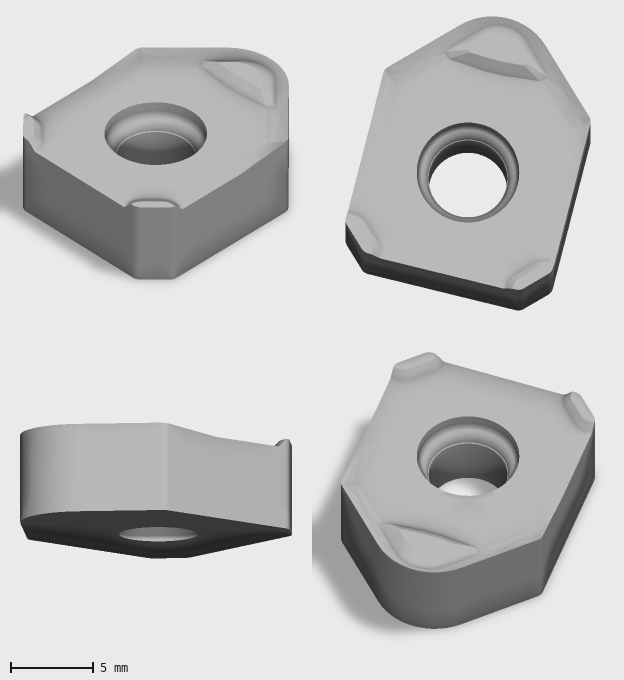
import cadquery as cq
import math

width = 13.0
length = 16.36
height = 5.56
half_width = width / 2
back_y = -6.51
nose_y = back_y + length

shoulder_y = 4.92
back_chamfer = 1.6
corner_radius = 0.64
diagonal = math.sqrt(0.5)
apex_y = shoulder_y + half_width
nose_radius = (apex_y - nose_y) / (math.sqrt(2) - 1)
nose_center_y = nose_y - nose_radius

floor_z = 5.0
rim_z = 5.42
overlap = 0.16
side_rim_width = 1.0
flank_rim_width = 1.2
rim_start_y = 0.93

pad_slope = 45.0
pad_fillet = 0.21
pad_margin = pad_fillet * math.tan(math.radians(pad_slope / 2))
pad_arc_radius = 1.49 - pad_margin
pad_side_center = (-6.17, -5.55)
pad_arc_shift = 0.88
stock_margin = 0.82
pad_overrun = 3.27

breaker_arc_half = 1.42
breaker_tip_half = 3.3
breaker_back_half = 2.9
breaker_flat_half = 0.57
breaker_nose_y = 9.47
breaker_arc_y = 8.82
breaker_tip_y = 6.99
breaker_back_y = 6.6
breaker_flat_y = 6.36
breaker_base_slope = 0.04
plateau_nose_y = 8.36
plateau_arc_y = 7.72
plateau_tip_half = 1.78
plateau_tip_y = 7.33
plateau_back_half = 1.7
plateau_back_y = 7.2
plateau_flat_y = 7.12
breaker_fillet = 0.08

bore_radius = 4.8 / 2
mouth_radius = 3.12
wall_radius = 3.1
wall_depth = 0.64
seat_radius = 2.93
seat_depth = 0.93
lip_radius = 2.45
lip_depth = 1.67
bore_depth = 1.72
cove_bow = 0.03
seat_bow = 0.11


def outline_prism():
    tangent_x = nose_radius * diagonal
    tangent_y = nose_center_y + nose_radius * diagonal
    prism = (
        cq.Workplane("XY")
        .moveTo(-half_width + back_chamfer, back_y)
        .lineTo(half_width - back_chamfer, back_y)
        .lineTo(half_width, back_y + back_chamfer)
        .lineTo(half_width, shoulder_y)
        .lineTo(tangent_x, tangent_y)
        .threePointArc((0, nose_y), (-tangent_x, tangent_y))
        .lineTo(-half_width, shoulder_y)
        .lineTo(-half_width, back_y + back_chamfer)
        .close()
        .extrude(height)
    )
    corner_zone = cq.selectors.BoxSelector(
        (-width, back_y - corner_radius, 0), (width, shoulder_y + corner_radius, height))
    sharp_edges = prism.edges("|Z").edges(corner_zone)
    return sharp_edges.fillet(corner_radius)


def corner_pad():
    """Left pad: a tapered block whose outer sides run past the outline."""
    side_x, side_y = pad_side_center
    back_x, lower_y = side_x + pad_arc_shift, side_y - pad_arc_shift
    reach = pad_arc_radius * diagonal
    middle = math.radians(67.5)
    near = pad_arc_radius * math.cos(middle)
    far = pad_arc_radius * math.sin(middle)
    outer_x = -half_width - pad_overrun
    outer_y = back_y - pad_overrun
    return (
        cq.Workplane("XY", origin=(0, 0, floor_z))
        .moveTo(outer_x, side_y + pad_arc_radius)
        .lineTo(side_x, side_y + pad_arc_radius)
        .threePointArc((side_x + near, side_y + far), (side_x + reach, side_y + reach))
        .lineTo(back_x + reach, lower_y + reach)
        .threePointArc((back_x + far, lower_y + near), (back_x + pad_arc_radius, lower_y))
        .lineTo(back_x + pad_arc_radius, outer_y)
        .lineTo(outer_x, outer_y)
        .close()
        .extrude(height - floor_z, taper=pad_slope)
        .faces(">Z").edges().fillet(pad_fillet)
    )


def padded_stock():
    stock_size = (width + 2 * stock_margin, length + 2 * stock_margin)
    stock_center_y = back_y + length / 2
    pad = corner_pad()
    envelope = cq.Workplane("XY").center(0, stock_center_y).rect(*stock_size).extrude(height)
    stock = (
        cq.Workplane("XY")
        .center(0, stock_center_y)
        .rect(*stock_size)
        .extrude(floor_z)
        .union(pad)
        .union(pad.mirror("YZ"))
        .intersect(envelope)
    )
    reach_x = half_width + stock_margin / 2 + pad_margin
    reach_y = back_y - stock_margin / 2 - pad_margin
    foot = cq.selectors.BoxSelector(
        (-reach_x, reach_y, floor_z - pad_margin), (reach_x, 0, floor_z + pad_margin))
    return stock.edges(foot).fillet(pad_fillet)


def rim_section(inner, outer, rise):
    """Vertical section with a concave top rising from inner to outer."""
    bottom = floor_z - overlap

    def point(across, z):
        x = inner[0] + across * (outer[0] - inner[0])
        y = inner[1] + across * (outer[1] - inner[1])
        return cq.Vector(x, y, z)

    low_in, low_out = point(0, bottom), point(1, bottom)
    top_in, top_out = point(0, floor_z), point(1, floor_z + rise)
    if rise:
        top = cq.Edge.makeThreePointArc(top_out, point(0.5, floor_z + rise / 4), top_in)
    else:
        top = cq.Edge.makeLine(top_out, top_in)
    return cq.Wire.assembleEdges([
        cq.Edge.makeLine(top_in, low_in),
        cq.Edge.makeLine(low_in, low_out),
        cq.Edge.makeLine(low_out, top_out),
        top,
    ])


def nose_rim():
    rise = rim_z - floor_z
    inner_x = half_width - side_rim_width
    inner_y = apex_y - flank_rim_width / diagonal - inner_x
    inner_radius = nose_radius - flank_rim_width

    def nose_point(radius):
        return (-radius * diagonal, nose_center_y + radius * diagonal)

    start = rim_section((-inner_x, rim_start_y), (-half_width, rim_start_y), 0)
    shoulder = rim_section((-inner_x, inner_y), (-half_width, shoulder_y), rise)
    tangent = rim_section(nose_point(inner_radius), nose_point(nose_radius), rise)
    side = cq.Workplane(cq.Solid.makeLoft([start, shoulder], True))
    flank = cq.Workplane(cq.Solid.makeLoft([shoulder, tangent], True))
    nose = cq.Workplane(cq.Solid.revolve(
        tangent, [], 90, cq.Vector(0, nose_center_y, 0.16), cq.Vector(0, nose_center_y, 0)))
    left = side.union(flank)
    return left.union(left.mirror("YZ")).union(nose)


def breaker_wire(half_points, nose, z_at):
    """Mirror-symmetric outline: an arc over the nose, then straight sides."""
    right = [cq.Vector(x, y, z_at(y)) for x, y in half_points]
    left = [cq.Vector(-x, y, z_at(y)) for x, y in reversed(half_points)]
    points = right + left
    lines = [cq.Edge.makeLine(a, b) for a, b in zip(points, points[1:])]
    crest = cq.Vector(0, nose, z_at(nose))
    arc = cq.Edge.makeThreePointArc(points[-1], crest, points[0])
    return cq.Wire.assembleEdges([arc] + lines)


def chip_breaker():
    def base_z(y):
        return floor_z + breaker_base_slope * (y - breaker_tip_y)

    base_points = [
        (breaker_arc_half, breaker_arc_y),
        (breaker_tip_half, breaker_tip_y),
        (breaker_back_half, breaker_back_y),
        (breaker_flat_half, breaker_flat_y),
    ]
    plateau_points = [
        (breaker_arc_half, plateau_arc_y),
        (plateau_tip_half, plateau_tip_y),
        (plateau_back_half, plateau_back_y),
        (breaker_flat_half, plateau_flat_y),
    ]
    base = breaker_wire(base_points, breaker_nose_y, base_z)
    plateau = breaker_wire(plateau_points, plateau_nose_y, lambda y: height)
    mound = cq.Workplane(cq.Solid.makeLoft([base, plateau], True))
    root = cq.Workplane(cq.Solid.extrudeLinear(base, [], cq.Vector(0, 0, -2 * overlap)))
    crest_edges = mound.faces(">Z").edges()
    return crest_edges.fillet(breaker_fillet).union(root)


def bowed_middle(start, end, bow):
    """Middle point of an arc, set off by bow to the right of start to end."""
    run = end[0] - start[0]
    rise = end[1] - start[1]
    chord = math.hypot(run, rise)
    return (
        (start[0] + end[0]) / 2 + bow * rise / chord,
        (start[1] + end[1]) / 2 - bow * run / chord,
    )


def screw_hole():
    lip = (lip_radius, floor_z - lip_depth)
    seat = (seat_radius, floor_z - seat_depth)
    wall = (wall_radius, floor_z - wall_depth)
    return (
        cq.Workplane("XZ")
        .moveTo(0, 0)
        .lineTo(bore_radius, 0)
        .lineTo(bore_radius, floor_z - bore_depth)
        .lineTo(*lip)
        .threePointArc(bowed_middle(lip, seat, -seat_bow), seat)
        .threePointArc(bowed_middle(seat, wall, cove_bow), wall)
        .lineTo(mouth_radius, floor_z)
        .lineTo(0, floor_z)
        .close()
        .revolve(360, (0, 0, 0), (0, 1, 0))
    )


result = (
    padded_stock()
    .union(nose_rim())
    .union(chip_breaker())
    .intersect(outline_prism())
    .cut(screw_hole())
)